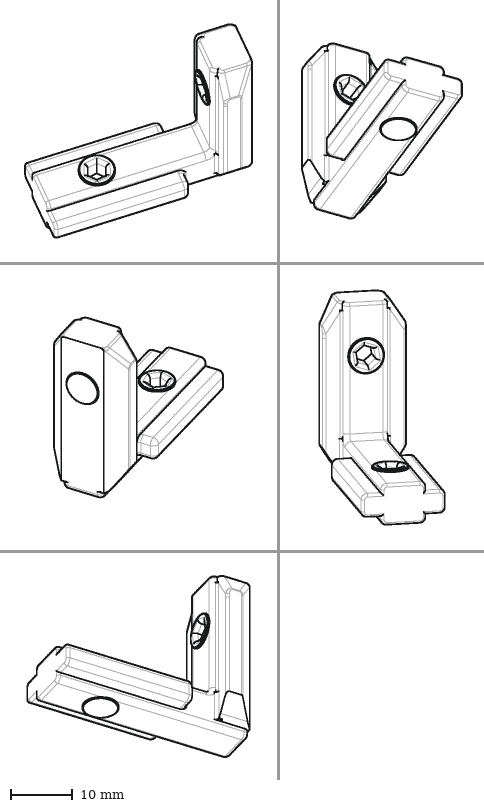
import cadquery as cq
import math

FOOT_LENGTH = 35.53
UPRIGHT_HEIGHT = 30.0
STEM_WIDTH = 7.5
STEM_DEPTH = 7.0
WING_WIDTH = 14.0
LARGE_RADIUS = 1.0
SMALL_RADIUS = LARGE_RADIUS / 2

HALF_STEM = STEM_WIDTH / 2
HALF_WING = WING_WIDTH / 2

FOOT_WING_BOTTOM = 1.5
FOOT_WING_TOP = 5.5
FOOT_WING_END = -12.0

UPRIGHT_WING_BOTTOM = 1.57
UPRIGHT_WING_FRONT = LARGE_RADIUS - STEM_DEPTH
HALF_WING_BACK = 3.93
BEVEL_END = HALF_WING_BACK - HALF_WING
SLOPE_RUN = 2.75
TOP_SLOPE_HEIGHT = 4.15
TOP_SLOPE_START = UPRIGHT_HEIGHT - TOP_SLOPE_HEIGHT
BOTTOM_SLOPE_RUN = 2.55
BOTTOM_SLOPE_END = FOOT_WING_TOP
BOTTOM_ROUNDING = 1.5
CORNER_FILLER_TOP = 28.57

SCREW_DIAMETER = 6.0
SCREW_LENGTH = 7.5
SCREW_CHAMFER = 0.18
SCREW_TAIL = 0.18
SOCKET_FLATS = 3.0
SOCKET_DEPTH = 3.5
SOCKET_FLARE = 0.65
SOCKET_TURN = 40.0
FOOT_SCREW_Y = 10.0 - FOOT_LENGTH
UPRIGHT_SCREW_Z = UPRIGHT_HEIGHT - 9.0

OVERLAP = 0.7
CLEARANCE = 3.57
TOLERANCE = 0.018


def pick_edges(body, test):
    """Edges of the body whose centre (x, y, z), with x taken as positive, passes the test."""
    chosen = []
    for edge in body.edges().vals():
        center = edge.Center()
        if test(abs(center.x), center.y, center.z):
            chosen.append(edge)
    return body.newObject(chosen)


def same(value, target):
    return abs(value - target) < TOLERANCE


def with_mirror(body):
    """The body together with its mirror image on the -X side."""
    return body.union(body.mirror("YZ"))


def make_stem():
    """L-shaped core with rounded long edges and a rounded rim at the top."""
    profile = [
        (0, 0),
        (-FOOT_LENGTH, 0),
        (-FOOT_LENGTH, STEM_DEPTH),
        (-STEM_DEPTH, STEM_DEPTH),
        (-STEM_DEPTH, UPRIGHT_HEIGHT),
        (0, UPRIGHT_HEIGHT),
    ]
    stem = cq.Workplane("YZ").polyline(profile).close().extrude(HALF_STEM, both=True)
    inner_corner = pick_edges(stem, lambda x, y, z: x < 0.35 and same(y, -STEM_DEPTH) and same(z, STEM_DEPTH))
    stem = inner_corner.fillet(LARGE_RADIUS)
    rounded = pick_edges(
        stem,
        lambda x, y, z: (same(x, HALF_STEM) and not same(y, -FOOT_LENGTH) and not same(z, UPRIGHT_HEIGHT))
        or (same(y, 0) and same(z, 0)),
    )
    stem = rounded.fillet(LARGE_RADIUS)
    return stem.faces(">Z").edges("<Y").fillet(SMALL_RADIUS)


def make_foot_wings():
    """Bar across the foot, with hollow corners where its rear end meets the stem."""
    corner_end = FOOT_WING_END + SMALL_RADIUS
    half_bar = (
        cq.Workplane("XY", origin=(0, 0, FOOT_WING_BOTTOM))
        .moveTo(0, -FOOT_LENGTH)
        .lineTo(HALF_WING, -FOOT_LENGTH)
        .lineTo(HALF_WING, FOOT_WING_END)
        .lineTo(HALF_STEM + SMALL_RADIUS, FOOT_WING_END)
        .radiusArc((HALF_STEM, corner_end), SMALL_RADIUS)
        .lineTo(0, corner_end)
        .close()
        .extrude(FOOT_WING_TOP - FOOT_WING_BOTTOM)
    )
    bar = with_mirror(half_bar).clean()
    outer_corners = pick_edges(bar, lambda x, y, z: same(x, HALF_WING) and same(y, FOOT_WING_END))
    bar = outer_corners.fillet(LARGE_RADIUS)
    return bar.faces("<Z or >Z").edges("not(<Y)").fillet(LARGE_RADIUS)


def slope_cutter(side_z, end_z, run):
    """Prisms that cut a slope from the wing sides at side_z to a narrower width at end_z."""
    outside = HALF_WING + CLEARANCE
    points = [(HALF_WING, side_z), (outside, side_z), (outside, end_z), (HALF_WING - run, end_z)]
    prism = cq.Workplane("XZ").polyline(points).close().extrude(STEM_DEPTH + CLEARANCE, both=True)
    return with_mirror(prism)


def make_upright_wings():
    """Bevelled block behind the front of the upright, sloped and rounded at both ends."""
    plan = [
        (HALF_WING_BACK, 0),
        (HALF_WING, BEVEL_END),
        (HALF_WING, UPRIGHT_WING_FRONT),
        (-HALF_WING, UPRIGHT_WING_FRONT),
        (-HALF_WING, BEVEL_END),
        (-HALF_WING_BACK, 0),
    ]
    height = UPRIGHT_HEIGHT - UPRIGHT_WING_BOTTOM
    wings = cq.Workplane("XY", origin=(0, 0, UPRIGHT_WING_BOTTOM)).polyline(plan).close().extrude(height)

    wings = wings.cut(slope_cutter(TOP_SLOPE_START, UPRIGHT_HEIGHT, SLOPE_RUN))
    slope_edges = pick_edges(
        wings,
        lambda x, y, z: HALF_WING - SLOPE_RUN < x < HALF_WING
        and TOP_SLOPE_START < z < UPRIGHT_HEIGHT - TOLERANCE,
    )
    wings = slope_edges.fillet(LARGE_RADIUS)
    wings = wings.faces("<X or >X").edges("not(<Z)").fillet(SMALL_RADIUS)
    wings = pick_edges(
        wings, lambda x, y, z: same(z, UPRIGHT_HEIGHT) and x > HALF_STEM and y < -OVERLAP
    ).fillet(SMALL_RADIUS)

    wings = wings.cut(slope_cutter(BOTTOM_SLOPE_END, UPRIGHT_WING_BOTTOM, BOTTOM_SLOPE_RUN))
    lower_edges = pick_edges(
        wings, lambda x, y, z: same(z, UPRIGHT_WING_BOTTOM) and same(x, HALF_WING - BOTTOM_SLOPE_RUN)
    )
    return lower_edges.fillet(BOTTOM_ROUNDING)


def make_corner_fillers():
    """Hollow fillets between the front of the upright's wings and the sides of the stem."""
    inner_x = HALF_STEM - OVERLAP
    inner_y = UPRIGHT_WING_FRONT + OVERLAP
    outer_y = UPRIGHT_WING_FRONT - SMALL_RADIUS

    lower = (
        cq.Workplane("XY", origin=(0, 0, UPRIGHT_WING_BOTTOM))
        .moveTo(HALF_STEM + SMALL_RADIUS, UPRIGHT_WING_FRONT)
        .radiusArc((HALF_STEM, outer_y), -SMALL_RADIUS)
        .lineTo(inner_x, outer_y)
        .lineTo(inner_x, inner_y)
        .lineTo(HALF_STEM + SMALL_RADIUS, inner_y)
        .close()
        .extrude(STEM_DEPTH - UPRIGHT_WING_BOTTOM)
    )

    center_gap = LARGE_RADIUS + SMALL_RADIUS
    rounding_x = HALF_STEM - LARGE_RADIUS
    arc_x = rounding_x + math.sqrt(center_gap**2 - SMALL_RADIUS**2)
    touch_x = rounding_x + (arc_x - rounding_x) * LARGE_RADIUS / center_gap
    touch_y = UPRIGHT_WING_FRONT - SMALL_RADIUS * LARGE_RADIUS / center_gap
    upper = (
        cq.Workplane("XY", origin=(0, 0, STEM_DEPTH))
        .moveTo(arc_x, UPRIGHT_WING_FRONT)
        .radiusArc((touch_x, touch_y), -SMALL_RADIUS)
        .lineTo(inner_x, UPRIGHT_WING_FRONT)
        .lineTo(inner_x, inner_y)
        .lineTo(arc_x, inner_y)
        .close()
        .extrude(CORNER_FILLER_TOP - STEM_DEPTH)
    )
    return with_mirror(lower.union(upper))


def make_bracket():
    """Stem and wings as one solid, with rounded end faces and two screw holes."""
    bracket = make_stem().union(make_upright_wings()).union(make_corner_fillers()).union(make_foot_wings())
    bracket = bracket.faces("<Y").edges().fillet(SMALL_RADIUS)
    foot_hole = cq.Workplane("XY", origin=(0, FOOT_SCREW_Y, 0)).circle(SCREW_DIAMETER / 2).extrude(STEM_DEPTH)
    upright_hole = (
        cq.Workplane("XZ", origin=(0, 0, UPRIGHT_SCREW_Z)).circle(SCREW_DIAMETER / 2).extrude(STEM_DEPTH)
    )
    return bracket.cut(foot_hole).cut(upright_hole)


def make_set_screw():
    """Screw along +Z with its tail just below Z = 0 and a flared hexagon socket on top."""
    screw = cq.Workplane("XY", origin=(0, 0, -SCREW_TAIL)).circle(SCREW_DIAMETER / 2).extrude(SCREW_LENGTH)
    screw = screw.edges().chamfer(SCREW_CHAMFER)
    hexagon_diameter = SOCKET_FLATS / math.cos(math.pi / 6)
    socket = (
        screw.faces(">Z")
        .workplane()
        .transformed(rotate=(0, 0, SOCKET_TURN))
        .polygon(6, hexagon_diameter)
        .cutBlind(-SOCKET_DEPTH)
    )
    return socket.faces(">Z").edges("%LINE").fillet(SOCKET_FLARE)


bracket = make_bracket()

set_screws = []
for quarter_turns, position in [(0, (0, FOOT_SCREW_Y, 0)), (1, (0, 0, UPRIGHT_SCREW_Z))]:
    screw = make_set_screw().rotate((0, 0, 0), (1, 0, 0), 90 * quarter_turns).translate(position)
    set_screws.append(screw.val())

result = cq.Compound.makeCompound([bracket.val(), *set_screws])